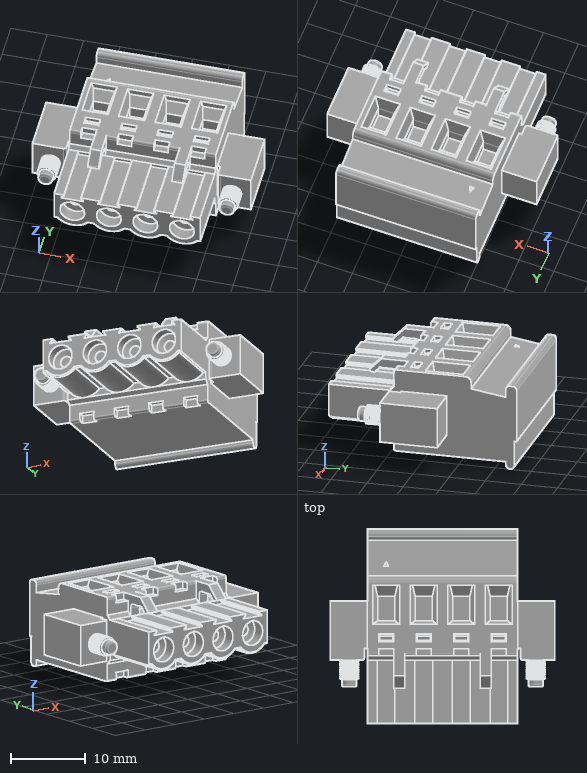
import cadquery as cq
import math


total_width = 30.0
total_depth = 26.0
total_height = 12.6

pole_count = 4
pole_pitch = 5.0
body_width = pole_count * pole_pitch
pole_xs = [(i - (pole_count - 1) / 2) * pole_pitch for i in range(pole_count)]

plug_bottom = 4.02
plug_top = 9.6
plug_depth = 8.45
axis_z = (plug_bottom + plug_top) / 2
barrel_radius = axis_z - plug_bottom
web_bottom = 4.98
plug_edge_chamfer = 0.18

contact_radius = 1.68
contact_depth = 1.7
contact_tip_radius = 0.78
contact_cone_depth = 0.3

groove_neck_width = 2.35
groove_neck_depth = 0.18
groove_base_width = 3.0
groove_flare_end = 0.5
groove_depth = 0.6

body_front = 9.03
body_bottom = 1.0
body_edge_radius = 0.3
front_chamfer = body_front - plug_depth
lip_thickness = 1.5
lip_front = total_depth - lip_thickness
upper_lip_top = 11.85
upper_lip_radius = 0.5
slope_back_z = 10.23
slope_front_z = 10.95
shoulder_y = 19.7
shoulder_radius = 0.75
lower_lip_setback = 0.3
lower_lip_back = total_depth - lower_lip_setback
lower_lip_radius = (lower_lip_back - lip_front) / 2

notch_width = 1.98
notch_depth = 1.0
upper_notch_height = 1.0
lower_notch_height = 1.08

arm_width = 1.5
arm_xs = [side * (pole_xs[-1] - (notch_width + arm_width) / 2) for side in (-1, 1)]
arm_bottom = 11.35
arm_root_radius = 0.57
arm_bend_y = 6.35
hook_bend_y = 6.15
hook_slope_end = (4.8, 11.05)
hook_tip = (4.7, 10.85)
hook_nose = (4.92, 10.65)
hook_heel = (5.37, 10.53)

opening_width = 3.57
opening_front = 13.23
opening_back = 18.45
shaft_width = 2.28
shaft_front = 13.75
shaft_back = 16.98
funnel_depth = 1.9
funnel_back_wall = 0.9
shaft_depth = 3.6

slot_width = 2.0
slot_front = 10.95
slot_back = 12.0
slot_depth = 1.2
insert_gap = 0.15
insert_back_gap = 0.05
insert_crest = (11.67, 12.18)
insert_eave_z = 12.0

mark_y = 21.0
mark_size = 0.6
mark_depth = 0.3

flange_width = (total_width - body_width) / 2
flange_back = 16.38
relief_width = 0.4
relief_back = 10.02
relief_corner_radius = 0.35

screw_x = 12.45
screw_tip_y = 4.9
screw_radius = 1.0
screw_tip_fillet = 0.27
thread_radius = 1.3
thread_pitch = 0.288
thread_ridges = 9


def box(x_min, x_max, y_min, y_max, z_min, z_max):
    """Axis-aligned box between the given limits."""
    size = (x_max - x_min, y_max - y_min, z_max - z_min)
    return cq.Workplane("XY").box(*size, centered=False).translate((x_min, y_min, z_min))


def centred_box(x, width, y_min, y_max, z_min, z_max):
    """Box whose width is centred on the given X."""
    return box(x - width / 2, x + width / 2, y_min, y_max, z_min, z_max)


def side_prism(outline, x, width):
    """Extrude a (Y, Z) sketch along X, centred on the given X."""
    return outline.extrude(width / 2, both=True).translate((x, 0, 0))


def make_body():
    """Rear housing with a lip above and below its back end."""
    diagonal = math.sqrt(0.5)
    lip_edge = upper_lip_top - upper_lip_radius
    lip_arc_inset = upper_lip_radius * (1 - diagonal)
    shoulder_inset = shoulder_radius * (1 - diagonal)
    edge_inset = body_edge_radius * (1 - diagonal)
    outline = (
        cq.Workplane("YZ")
        .moveTo(lower_lip_back, lower_lip_radius)
        .lineTo(lower_lip_back, plug_bottom)
        .lineTo(total_depth, plug_bottom)
        .lineTo(total_depth, lip_edge)
        .threePointArc(
            (total_depth - lip_arc_inset, upper_lip_top - lip_arc_inset),
            (total_depth - upper_lip_radius, upper_lip_top),
        )
        .lineTo(lip_front + upper_lip_radius, upper_lip_top)
        .threePointArc(
            (lip_front + lip_arc_inset, upper_lip_top - lip_arc_inset),
            (lip_front, lip_edge),
        )
        .lineTo(lip_front, slope_back_z)
        .lineTo(shoulder_y, slope_front_z)
        .lineTo(shoulder_y, total_height - shoulder_radius)
        .threePointArc(
            (shoulder_y - shoulder_inset, total_height - shoulder_inset),
            (shoulder_y - shoulder_radius, total_height),
        )
        .lineTo(body_front + body_edge_radius, total_height)
        .threePointArc(
            (body_front + edge_inset, total_height - edge_inset),
            (body_front, total_height - body_edge_radius),
        )
        .lineTo(body_front, plug_top + front_chamfer)
        .lineTo(plug_depth, plug_top)
        .lineTo(plug_depth, plug_bottom)
        .lineTo(body_front, plug_bottom - front_chamfer)
        .lineTo(body_front, body_bottom + body_edge_radius)
        .threePointArc(
            (body_front + edge_inset, body_bottom + edge_inset),
            (body_front + body_edge_radius, body_bottom),
        )
        .lineTo(lip_front, body_bottom)
        .lineTo(lip_front, lower_lip_radius)
        .threePointArc((lip_front + lower_lip_radius, 0), (lower_lip_back, lower_lip_radius))
        .close()
    )
    return side_prism(outline, 0, body_width)


def plug_section(y, inset):
    """Plug outline at the given Y, with its scalloped underside set in by inset."""
    radius = barrel_radius - inset
    web_z = web_bottom + inset
    half_chord = math.sqrt(radius**2 - (axis_z - web_z) ** 2)
    half_width = body_width / 2
    section = cq.Workplane("XZ", origin=(0, y, 0)).moveTo(-half_width, plug_top)
    section = section.lineTo(-half_width, web_z)
    for x in pole_xs:
        section = section.lineTo(x - half_chord, web_z)
        section = section.threePointArc((x, axis_z - radius), (x + half_chord, web_z))
    return section.lineTo(half_width, web_z).lineTo(half_width, plug_top).close()


def make_plug():
    """Block with one barrel per pole below it and a chamfered lower front edge."""
    main = plug_section(plug_edge_chamfer, 0).extrude(plug_edge_chamfer - plug_depth)
    front_wire = plug_section(0, plug_edge_chamfer).val()
    main_wire = plug_section(plug_edge_chamfer, 0).val()
    chamfered_front = cq.Solid.makeLoft([front_wire, main_wire], True)
    return main.union(cq.Workplane(chamfered_front))


def make_contact_hole(x):
    hole_end = contact_depth + contact_cone_depth
    return (
        cq.Workplane("XY")
        .polyline([
            (0, 0),
            (contact_radius, 0),
            (contact_radius, contact_depth),
            (contact_tip_radius, hole_end),
            (0, hole_end),
        ])
        .close()
        .revolve(360, (0, 0, 0), (0, 1, 0))
        .translate((x, 0, axis_z))
    )


def make_keying_groove(x):
    half_neck = groove_neck_width / 2
    half_base = groove_base_width / 2
    return (
        cq.Workplane("XZ", origin=(x, 0, plug_top))
        .polyline([
            (-half_neck, 0),
            (-half_neck, -groove_neck_depth),
            (-half_base, -groove_flare_end),
            (-half_base, -groove_depth),
            (half_base, -groove_depth),
            (half_base, -groove_flare_end),
            (half_neck, -groove_neck_depth),
            (half_neck, 0),
        ])
        .close()
        .extrude(-plug_depth)
    )


def make_latch_arm(x):
    arc_inset = arm_root_radius * (1 - math.sqrt(0.5))
    arm_root_y = body_front + notch_depth
    outline = (
        cq.Workplane("YZ")
        .moveTo(arm_root_y, total_height)
        .lineTo(arm_bend_y, total_height)
        .lineTo(*hook_slope_end)
        .threePointArc(hook_tip, hook_nose)
        .lineTo(*hook_heel)
        .lineTo(hook_bend_y, arm_bottom)
        .lineTo(plug_depth - arm_root_radius, arm_bottom)
        .threePointArc(
            (plug_depth - arc_inset, arm_bottom - arc_inset),
            (plug_depth, arm_bottom - arm_root_radius),
        )
        .lineTo(plug_depth, plug_top)
        .lineTo(arm_root_y, plug_top)
        .close()
    )
    return side_prism(outline, x, arm_width)


def make_notches(x):
    notch_back = body_front + notch_depth
    upper_z = total_height - upper_notch_height
    lower_z = body_bottom + lower_notch_height
    upper = centred_box(x, notch_width, plug_depth, notch_back, upper_z, total_height)
    lower = centred_box(x, notch_width, plug_depth, notch_back, 0, lower_z)
    return upper.union(lower)


def make_wire_opening(x):
    """Funnel whose back wall drops straight before sloping to the shaft."""
    funnel_floor = total_height - funnel_depth
    sides = (
        cq.Workplane("XZ", origin=(x, opening_front, 0))
        .polyline([
            (-opening_width / 2, total_height),
            (-shaft_width / 2, funnel_floor),
            (shaft_width / 2, funnel_floor),
            (opening_width / 2, total_height),
        ])
        .close()
        .extrude(opening_front - opening_back)
    )
    depth_outline = (
        cq.Workplane("YZ")
        .polyline([
            (opening_front, total_height),
            (shaft_front, funnel_floor),
            (shaft_back, funnel_floor),
            (opening_back, total_height - funnel_back_wall),
            (opening_back, total_height),
        ])
        .close()
    )
    funnel = sides.intersect(side_prism(depth_outline, x, opening_width))
    shaft = centred_box(
        x, shaft_width, shaft_front, shaft_back, total_height - shaft_depth, funnel_floor
    )
    return funnel.union(shaft)


def make_test_slot(x):
    slot_floor = total_height - slot_depth
    slot = centred_box(x, slot_width, slot_front, slot_back, slot_floor, total_height)
    insert_outline = (
        cq.Workplane("YZ")
        .polyline([
            (slot_front + insert_gap, slot_floor),
            (slot_front + insert_gap, insert_eave_z),
            insert_crest,
            (slot_back - insert_back_gap, insert_eave_z),
            (slot_back - insert_back_gap, slot_floor),
        ])
        .close()
    )
    return slot.cut(side_prism(insert_outline, x, slot_width - 2 * insert_gap))


def make_first_pole_mark():
    slope = (slope_front_z - slope_back_z) / (lip_front - shoulder_y)
    surface_z = slope_front_z - slope * (mark_y - shoulder_y)
    return (
        cq.Workplane("XY", origin=(pole_xs[0], mark_y, surface_z - mark_depth))
        .polyline([(-mark_size / 2, 0), (mark_size / 2, 0), (0, mark_size)])
        .close()
        .extrude(2 * mark_depth)
    )


def make_right_flange():
    inner_x = body_width / 2
    relief_x = inner_x + relief_width
    block = box(
        inner_x, inner_x + flange_width, plug_depth, flange_back, plug_bottom, plug_top
    )
    relief = box(inner_x, relief_x, plug_depth, relief_back, plug_bottom, plug_top)
    corner = cq.selectors.NearestToPointSelector((relief_x, plug_depth, axis_z))
    return block.cut(relief).edges(corner).fillet(relief_corner_radius)


def make_right_screw():
    """Captive screw with ring-shaped thread ridges."""
    shank = (
        cq.Workplane("XZ", origin=(0, plug_depth, 0))
        .circle(screw_radius)
        .extrude(plug_depth - screw_tip_y)
        .faces("<Y")
        .edges()
        .fillet(screw_tip_fillet)
    )
    thread = cq.Workplane("XY").moveTo(0, plug_depth).lineTo(screw_radius, plug_depth)
    for i in range(thread_ridges):
        ridge_y = plug_depth - i * thread_pitch
        thread = thread.lineTo(thread_radius, ridge_y - thread_pitch / 2)
        thread = thread.lineTo(screw_radius, ridge_y - thread_pitch)
    thread = thread.lineTo(0, plug_depth - thread_ridges * thread_pitch).close()
    thread = thread.revolve(360, (0, 0, 0), (0, 1, 0))
    return shank.union(thread).translate((screw_x, 0, axis_z))


result = make_body().union(make_plug())
for pole_x in pole_xs:
    result = result.cut(make_notches(pole_x))
for arm_x in arm_xs:
    result = result.union(make_latch_arm(arm_x))
for pole_x in pole_xs:
    result = result.cut(make_contact_hole(pole_x))
    result = result.cut(make_keying_groove(pole_x))
    result = result.cut(make_wire_opening(pole_x))
    result = result.cut(make_test_slot(pole_x))
result = result.cut(make_first_pole_mark())

right_end = make_right_flange().union(make_right_screw())
result = result.union(right_end).union(right_end.mirror("YZ"))